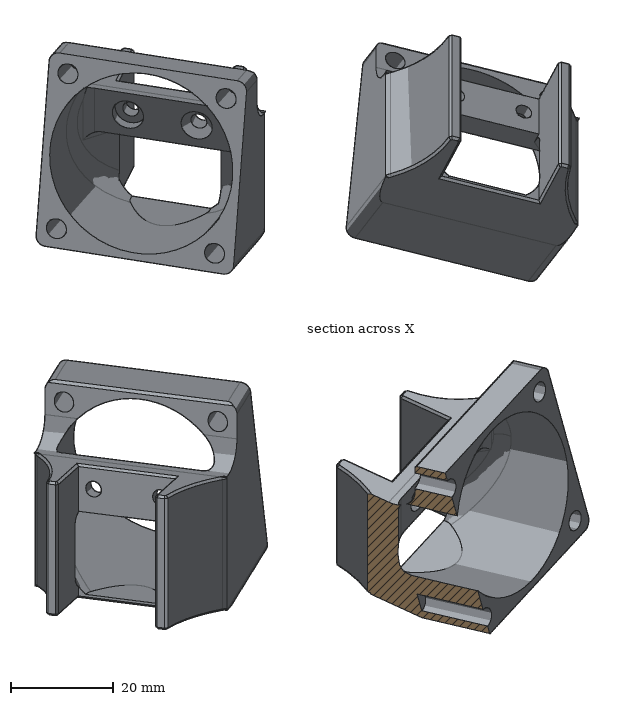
import cadquery as cq
import math

width = 40.0
depth = 37.9
height = 42.85
tilt = 15
corner_radius = 2.0
bore_diameter = 37.0
mount_pitch = 32.0
mount_hole_diameter = 4.05
mount_hole_depth = 15.85
edge_chamfer = 0.47

arm_centre_x = -0.45
block_height = 27.75
arm_gap = 20.15
gap_depth = 11.5
arm_tip_offset = 12.6
arm_mid_offset = 14.55
arm_mid_depth = 7.3
root_bevel = 0.75
arm_root_depth = 15.05
plate_back_depth = 20.4
step_radius = 6

screw_plate_face = 16.0
screw_plate_bottom = 18
floor_thickness = 1.0
hollow_centre_x = 0.3
hollow_half_width = 15.7
hollow_wall_slope = 1.0
hollow_back_depth = 5.15
bore_fillet = 4.5
plate_fillet = 3
underside_fillet = 2.0

screw_pitch = 13.95
screw_diameter = 3.2
screw_head_diameter = 6.3
screw_z = 22.97
counterbore_depth = 2.0

selection_margin = 0.45

half_width = width / 2
lean = math.radians(tilt)
face_plane = cq.Plane(
    origin=(
        0,
        -depth + half_width * math.sin(lean),
        height - half_width * math.cos(lean),
    ),
    xDir=(1, 0, 0),
    normal=(0, -math.cos(lean), math.sin(lean)),
)


def make_frame():
    """Tilted square prism trimmed to the stepped side outline."""
    prism = (
        cq.Workplane(face_plane)
        .rect(width, width)
        .extrude(-depth)
        .edges(cq.selectors.ParallelDirSelector(face_plane.zDir))
        .fillet(corner_radius)
    )
    top_length = depth - width * math.sin(lean) - plate_back_depth
    back_corner_z = height - top_length * math.tan(lean)
    bevel_y = -plate_back_depth - edge_chamfer
    outline = (
        cq.Workplane("YZ")
        .moveTo(-depth, 0)
        .lineTo(-arm_root_depth, 0)
        .lineTo(-arm_root_depth, block_height)
        .lineTo(step_radius - plate_back_depth, block_height)
        .radiusArc((-plate_back_depth, block_height + step_radius), step_radius)
        .lineTo(-plate_back_depth, back_corner_z - edge_chamfer)
        .lineTo(bevel_y, back_corner_z + edge_chamfer * math.tan(lean))
        .lineTo(bevel_y, height)
        .lineTo(-depth, height)
        .close()
        .extrude(half_width, both=True)
    )
    return prism.intersect(outline)


def make_rear_block():
    """Block behind the frame, flaring from two arm tips to the full width."""
    half_gap = arm_gap / 2
    root_y = -arm_root_depth
    bevel_x = half_width - root_bevel
    bevel_y = root_y + root_bevel
    left_tip = arm_centre_x - arm_tip_offset
    right_tip = arm_centre_x + arm_tip_offset
    left_mid = (arm_centre_x - arm_mid_offset, -arm_mid_depth)
    right_mid = (arm_centre_x + arm_mid_offset, -arm_mid_depth)
    block = (
        cq.Workplane("XY")
        .moveTo(-half_width, root_y)
        .lineTo(-bevel_x, bevel_y)
        .threePointArc(left_mid, (left_tip, 0))
        .lineTo(arm_centre_x - half_gap, 0)
        .lineTo(arm_centre_x - half_gap, -gap_depth)
        .lineTo(arm_centre_x + half_gap, -gap_depth)
        .lineTo(arm_centre_x + half_gap, 0)
        .lineTo(right_tip, 0)
        .threePointArc(right_mid, (bevel_x, bevel_y))
        .lineTo(half_width, root_y)
        .close()
        .extrude(block_height)
    )
    block = block.edges("|Z and >Y").chamfer(edge_chamfer)
    return block.faces("<Z or >Z").edges("not <Y").chamfer(edge_chamfer)


def make_hollow():
    """Bore narrowing between two slanted walls, in front of and below the screw plate."""
    bore = cq.Workplane(face_plane).circle(bore_diameter / 2).extrude(-2 * depth)

    def wedge_half_width(at_depth):
        return hollow_half_width + (at_depth - screw_plate_face) / hollow_wall_slope

    back_x = wedge_half_width(hollow_back_depth)
    front_x = wedge_half_width(depth)
    wedge = (
        cq.Workplane("XY", origin=(hollow_centre_x, 0, 0))
        .moveTo(-back_x, -hollow_back_depth)
        .lineTo(back_x, -hollow_back_depth)
        .lineTo(front_x, -depth)
        .lineTo(-front_x, -depth)
        .close()
        .extrude(2 * height, both=True)
    )
    screw_plate = (
        cq.Workplane("XY", origin=(0, -screw_plate_face, screw_plate_bottom))
        .box(width, screw_plate_face, 2 * height, centered=(True, False, False))
    )
    hollow = bore.intersect(wedge)
    carved_wedge = wedge.cut(screw_plate)
    plate_corner = cq.selectors.BoxSelector(
        (-width, -screw_plate_face - selection_margin, screw_plate_bottom),
        (width, 0, 3 * height),
    )
    underside_edge = cq.selectors.BoxSelector(
        (-width, -depth, screw_plate_bottom - selection_margin),
        (width, 0, screw_plate_bottom + selection_margin),
    )
    for side in (-1, 1):
        wall = cq.selectors.ParallelDirSelector(cq.Vector(side * hollow_wall_slope, 1, 0))
        hollow = hollow.faces(wall).edges("%ELLIPSE").fillet(bore_fillet)
        carved_wedge = carved_wedge.faces(wall).edges("|Z").edges(plate_corner).fillet(plate_fillet)
        carved_wedge = carved_wedge.faces(wall).edges("#Z").edges(underside_edge).fillet(underside_fillet)
    hollow = hollow.intersect(carved_wedge)
    window = (
        cq.Workplane("XY", origin=(arm_centre_x, -screw_plate_face, screw_plate_bottom))
        .box(arm_gap, screw_plate_face, 2 * underside_fillet, centered=(True, False, True))
        .cut(screw_plate)
    )
    hollow = hollow.union(window)
    floor_cut = (
        cq.Workplane("XY", origin=(0, -depth, floor_thickness))
        .box(width, 2 * depth, height, centered=(True, True, False))
    )
    return hollow.intersect(floor_cut)


def make_mount_holes():
    """Four holes square to the tilted face."""
    return (
        cq.Workplane(face_plane)
        .rect(mount_pitch, mount_pitch, forConstruction=True)
        .vertices()
        .circle(mount_hole_diameter / 2)
        .extrude(-mount_hole_depth)
    )


def make_screw_holes():
    """Two holes through the screw plate: one counterbored, one countersunk."""
    centre = (arm_centre_x, -screw_plate_face, screw_z)
    thickness = screw_plate_face - gap_depth
    head_radius = screw_head_diameter / 2
    screw_radius = screw_diameter / 2
    plane = cq.Workplane("XZ", origin=centre)
    holes = plane.pushPoints([(-screw_pitch / 2, 0), (screw_pitch / 2, 0)])
    holes = holes.circle(screw_radius).extrude(-thickness)
    counterbore = plane.center(-screw_pitch / 2, 0).circle(head_radius).extrude(-counterbore_depth)
    countersink = cq.Solid.makeCone(
        head_radius,
        screw_radius,
        head_radius - screw_radius,
        pnt=cq.Vector(arm_centre_x + screw_pitch / 2, -screw_plate_face, screw_z),
        dir=cq.Vector(0, 1, 0),
    )
    return holes.union(counterbore).union(cq.Workplane(countersink))


result = (
    make_frame()
    .union(make_rear_block())
    .cut(make_hollow())
    .cut(make_mount_holes())
    .cut(make_screw_holes())
)